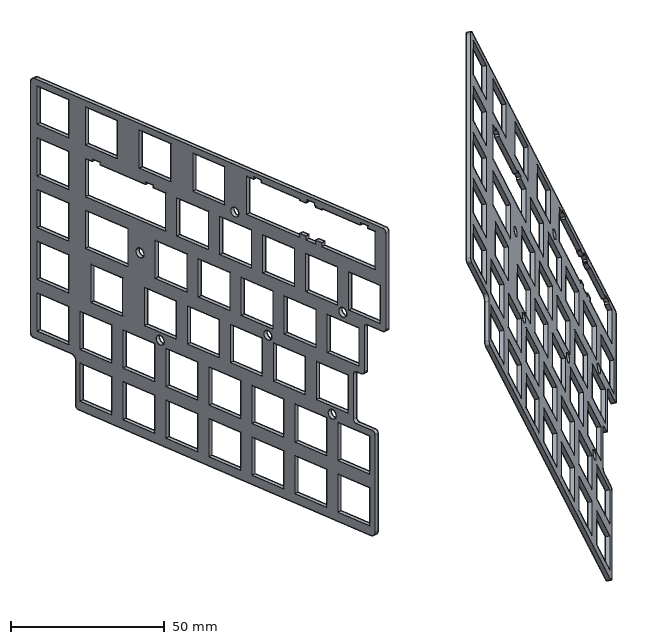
import cadquery as cq
LENGTH = 157.2
HEIGHT = 115.0
THICKNESS = 1.5

LEFT_TO_KEY = 9.9
RIGHT_TO_KEY = 9.5
TOP_TO_KEY = 9.5
LAST_COLUMN = 7.25
PITCH = (LENGTH - LEFT_TO_KEY - RIGHT_TO_KEY) / LAST_COLUMN
OPENING = 14.0

KEY_ROWS = [
    [(0, 0), (1.125, 1.125), (2.375, 2.375), (3.625, 3.625), (4.875, 7.125)],
    [(0, 0), (1.125, 2.25)] + [(3.25 + i, 3.25 + i) for i in range(5)],
    [(0, 0), (1.125, 1.375)] + [(2.75 + i, 2.75 + i) for i in range(5)],
    [(0, 0), (1.25, 1.25)] + [(2.5 + i, 2.5 + i) for i in range(5)],
    [(i, i) for i in range(8)],
    [(i, i) for i in range(1, 8)],
]

SPACEBAR_COLUMN = 6.0
SPACEBAR_ROW = 0
SPACEBAR_NOTCH_OFFSET = 23.6
WIDE_KEY_COLUMN = 1.625
WIDE_KEY_ROW = 1
WIDE_KEY_NOTCH_OFFSET = 11.8
NOTCH_WIDTH = 3.3
NOTCH_DEPTH = 1.0
TAB_GAP = 4.2
TAB_WIDTH = 2.8
UPPER_TAB_HEIGHT = 0.5
LOWER_TAB_HEIGHT = 1.4

HOLE_DIAMETER = 3.5
HOLES = [(90.4, 97.5), (138.2, 77.7), (48.5, 67.5), (105.0, 57.4), (57.4, 38.5), (133.5, 38.5)]

LEFT_FOOT_X = 20.0
LEFT_FOOT_Z = 19.5
CORNER_RADIUS = 1.3
LARGE_CORNER_RADIUS = 1.9


def column_x(column):
    return LEFT_TO_KEY + column * PITCH


def row_z(row):
    return HEIGHT - TOP_TO_KEY - row * PITCH


def right_edge(column):
    """Right edge of the plate beside a row that ends at this column."""
    return column_x(column) + RIGHT_TO_KEY


def block(x_min, x_max, z_min, z_max):
    """Box through the full plate thickness."""
    box = cq.Workplane("XY").box(x_max - x_min, THICKNESS, z_max - z_min, centered=False)
    return box.translate((x_min, 0, z_min))


def plate():
    """Stepped plate with rounded corners, before any cut-outs."""
    step_1 = row_z(1.5)
    step_2 = row_z(2.5)
    step_3 = row_z(3.5)
    row_2_edge = right_edge(KEY_ROWS[2][-1][1])
    row_3_edge = right_edge(KEY_ROWS[3][-1][1])
    foot_edge = right_edge(KEY_ROWS[5][-1][1])
    corners = [
        (0, HEIGHT),
        (LENGTH, HEIGHT),
        (LENGTH, step_1),
        (row_2_edge, step_1),
        (row_2_edge, step_2),
        (row_3_edge, step_2),
        (row_3_edge, step_3),
        (foot_edge, step_3),
        (foot_edge, 0),
        (LEFT_FOOT_X, 0),
        (LEFT_FOOT_X, LEFT_FOOT_Z),
        (0, LEFT_FOOT_Z),
    ]
    large_corners = [(0, HEIGHT), (foot_edge, 0), (LEFT_FOOT_X, LEFT_FOOT_Z)]
    body = cq.Workplane("XZ").polyline(corners).close().extrude(-THICKNESS)
    for x, z in corners:
        radius = LARGE_CORNER_RADIUS if (x, z) in large_corners else CORNER_RADIUS
        edge = cq.selectors.NearestToPointSelector((x, THICKNESS / 2, z))
        body = body.edges("|Y").edges(edge).fillet(radius)
    return body


def opening(row, first, last):
    half = OPENING / 2
    return block(column_x(first) - half, column_x(last) + half, row_z(row) - half, row_z(row) + half)


def notch(x, row):
    """Stabiliser notch in the upper side of an opening."""
    top = row_z(row) + OPENING / 2
    return block(x - NOTCH_WIDTH / 2, x + NOTCH_WIDTH / 2, top - NOTCH_DEPTH, top + NOTCH_DEPTH)


def spacebar_tabs():
    """Four small tabs reaching into the spacebar opening from above and below."""
    top = row_z(SPACEBAR_ROW) + OPENING / 2
    bottom = row_z(SPACEBAR_ROW) - OPENING / 2
    tabs = cq.Workplane("XY")
    for side in (-1, 1):
        centre = column_x(SPACEBAR_COLUMN) + side * (TAB_GAP + TAB_WIDTH) / 2
        left = centre - TAB_WIDTH / 2
        right = centre + TAB_WIDTH / 2
        tabs = tabs.add(block(left, right, top - UPPER_TAB_HEIGHT, top))
        tabs = tabs.add(block(left, right, bottom, bottom + LOWER_TAB_HEIGHT))
    return tabs


def mounting_holes():
    return cq.Workplane("XZ").pushPoints(HOLES).circle(HOLE_DIAMETER / 2).extrude(-THICKNESS)


result = plate()

for row, openings in enumerate(KEY_ROWS):
    for first, last in openings:
        result = result.cut(opening(row, first, last))

for offset in (-SPACEBAR_NOTCH_OFFSET, 0, SPACEBAR_NOTCH_OFFSET):
    result = result.cut(notch(column_x(SPACEBAR_COLUMN) + offset, SPACEBAR_ROW))
for offset in (-WIDE_KEY_NOTCH_OFFSET, WIDE_KEY_NOTCH_OFFSET):
    result = result.cut(notch(column_x(WIDE_KEY_COLUMN) + offset, WIDE_KEY_ROW))

for tab in spacebar_tabs().vals():
    result = result.union(cq.Workplane(tab))

result = result.cut(mounting_holes())